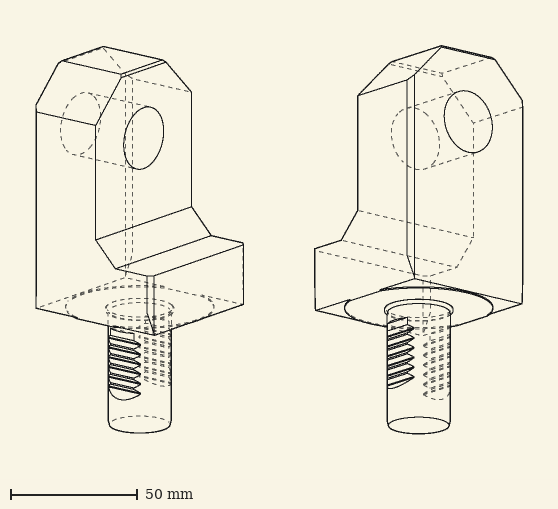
import cadquery as cq

BLOCK_SIZE = 60.0
BLOCK_HEIGHT = 99.0
ARM_THICKNESS = 32.0
FOOT_HEIGHT = 25.0
GUSSET_LEG = 10.0
SHOULDER_LEG = 17.0
CORNER_CHAMFER = 2.0
TAPER_HEIGHT = 10.0
TAPER_INSET = 2.3
TOP_CHAMFER = 1.0
SEAT_DIAMETER = 58.5
SEAT_STEP = 0.5
BORE_DIAMETER = 25.0
BORE_HEIGHT = 70.0

SHANK_DIAMETER = 25.0
SHANK_LENGTH = 48.0
COLLAR_DIAMETER = 27.08
COLLAR_HEIGHT = 1.5
COLLAR_TOP_ROUND = 0.4
COLLAR_BOTTOM_ROUND = 0.7
NECK_DIAMETER = 24.4
NECK_END_DEPTH = 2.5
TIP_CHAMFER_RADIAL = 0.5
TIP_CHAMFER_LENGTH = 2.0

FLAT_OFFSET = 11
FLAT_START_DEPTH = 7.0
GROOVE_ROOT_OFFSET = 9.5
GROOVE_ROOT_WIDTH = .4
FIRST_ROOT_DEPTH = 11.65
GROOVE_PITCH = 4.0
GROOVE_COUNT = 6

HALF = BLOCK_SIZE / 2
SHANK_RADIUS = SHANK_DIAMETER / 2


def make_side_profile():
    """L-shaped XZ outline of arm, gusset and foot, extruded over the full Y width."""
    arm_face = -HALF + ARM_THICKNESS
    return (
        cq.Workplane("XZ")
        .moveTo(-HALF, 0)
        .lineTo(HALF, 0)
        .lineTo(HALF, FOOT_HEIGHT)
        .lineTo(arm_face + GUSSET_LEG, FOOT_HEIGHT)
        .lineTo(arm_face, FOOT_HEIGHT + GUSSET_LEG)
        .lineTo(arm_face, BLOCK_HEIGHT - TOP_CHAMFER)
        .lineTo(arm_face - TOP_CHAMFER, BLOCK_HEIGHT)
        .lineTo(-HALF + TOP_CHAMFER, BLOCK_HEIGHT)
        .lineTo(-HALF, BLOCK_HEIGHT - TOP_CHAMFER)
        .close()
        .extrude(HALF, both=True)
    )


def make_end_profile():
    """YZ outline with sloped shoulders on top and sides that taper towards the seat."""
    shoulder_height = BLOCK_HEIGHT - SHOULDER_LEG
    right_side = [
        (HALF - TAPER_INSET, 0),
        (HALF, TAPER_HEIGHT),
        (HALF, shoulder_height),
        (HALF - SHOULDER_LEG, BLOCK_HEIGHT),
    ]
    left_side = [(-y, z) for y, z in reversed(right_side)]
    return cq.Workplane("YZ").polyline(right_side + left_side).close().extrude(HALF, both=True)


def make_seat_relief():
    """Shallow layer outside the round seat, which leaves the seat standing proud."""
    return (
        cq.Workplane("XY")
        .rect(BLOCK_SIZE, BLOCK_SIZE)
        .circle(SEAT_DIAMETER / 2)
        .extrude(SEAT_STEP)
    )


def make_block():
    """Common volume of the two profiles and a square plan with cut corners, bored along X."""
    plan = (
        cq.Workplane("XY")
        .rect(BLOCK_SIZE, BLOCK_SIZE)
        .extrude(BLOCK_HEIGHT)
        .edges("|Z")
        .chamfer(CORNER_CHAMFER)
    )
    bore = (
        cq.Workplane("YZ")
        .center(0, BORE_HEIGHT)
        .circle(BORE_DIAMETER / 2)
        .extrude(HALF, both=True)
    )
    body = plan.intersect(make_side_profile()).intersect(make_end_profile())
    return body.cut(bore).cut(make_seat_relief())


def make_shank():
    """Revolved round-edged collar, conical neck and cylinder with a slim lead-in at the tip."""
    collar_radius = COLLAR_DIAMETER / 2
    neck_radius = NECK_DIAMETER / 2
    return (
        cq.Workplane("XZ")
        .moveTo(0, 0)
        .lineTo(collar_radius - COLLAR_TOP_ROUND, 0)
        .radiusArc((collar_radius, -COLLAR_TOP_ROUND), COLLAR_TOP_ROUND)
        .lineTo(collar_radius, COLLAR_BOTTOM_ROUND - COLLAR_HEIGHT)
        .radiusArc((collar_radius - COLLAR_BOTTOM_ROUND, -COLLAR_HEIGHT), COLLAR_BOTTOM_ROUND)
        .lineTo(neck_radius, -COLLAR_HEIGHT)
        .lineTo(SHANK_RADIUS, -NECK_END_DEPTH)
        .lineTo(SHANK_RADIUS, TIP_CHAMFER_LENGTH - SHANK_LENGTH)
        .lineTo(SHANK_RADIUS - TIP_CHAMFER_RADIAL, -SHANK_LENGTH)
        .lineTo(0, -SHANK_LENGTH)
        .close()
        .revolve(360, (0, 0, 0), (0, 1, 0))
    )


def make_tooth_cutter():
    """Cutter for the +Y flat: a plain land, then 45 degree grooves and a 45 degree run-out."""
    half_root = GROOVE_ROOT_WIDTH / 2
    half_mouth = half_root + FLAT_OFFSET - GROOVE_ROOT_OFFSET
    run_out = SHANK_RADIUS - GROOVE_ROOT_OFFSET
    last_root_depth = FIRST_ROOT_DEPTH + (GROOVE_COUNT - 1) * GROOVE_PITCH
    outline = (
        cq.Workplane("YZ")
        .moveTo(SHANK_RADIUS, -FLAT_START_DEPTH)
        .lineTo(FLAT_OFFSET, -FLAT_START_DEPTH)
    )
    for index in range(GROOVE_COUNT):
        root_depth = FIRST_ROOT_DEPTH + index * GROOVE_PITCH
        outline = outline.lineTo(FLAT_OFFSET, half_mouth - root_depth)
        outline = outline.lineTo(GROOVE_ROOT_OFFSET, half_root - root_depth)
        outline = outline.lineTo(GROOVE_ROOT_OFFSET, -half_root - root_depth)
        if index < GROOVE_COUNT - 1:
            outline = outline.lineTo(FLAT_OFFSET, -half_mouth - root_depth)
    outline = outline.lineTo(SHANK_RADIUS, -last_root_depth - half_root - run_out)
    return outline.close().extrude(SHANK_RADIUS, both=True)


tooth_cutter = make_tooth_cutter()
shank = make_shank().cut(tooth_cutter).cut(tooth_cutter.mirror("XZ"))
result = make_block().union(shank)